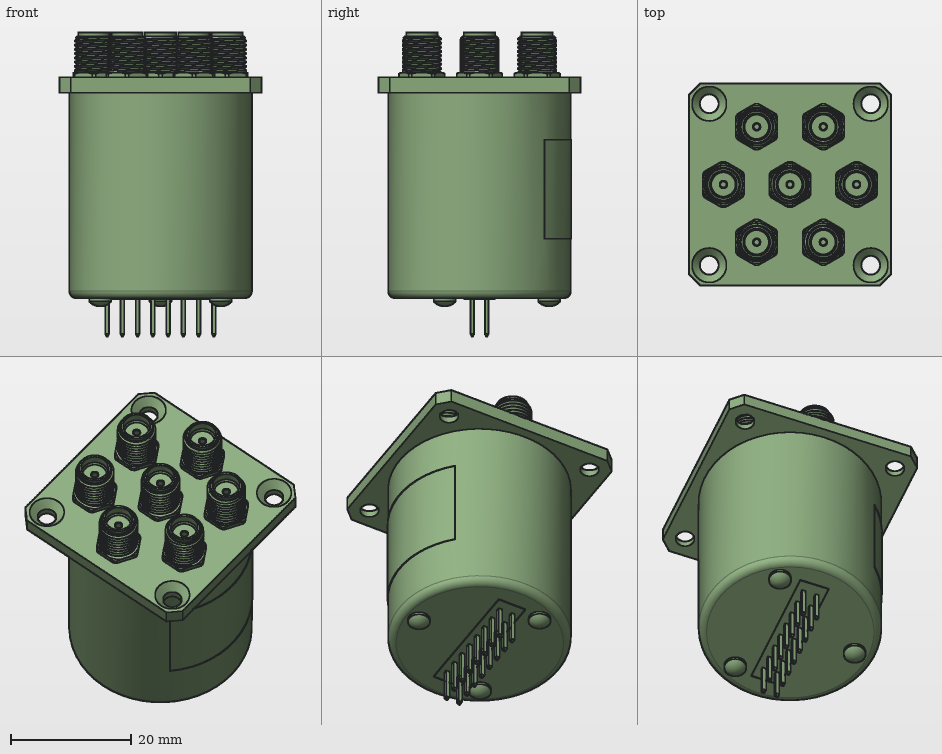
import cadquery as cq
import math


flange_side = 33.7
flange_thickness = 2.6
flange_corner_chamfer = 1.9
mount_hole_offset = 13.45
mount_hole_diameter = 3.1
countersink_diameter = 5.75
countersink_angle = 90

can_radius = 15.25
can_length = 34.25
can_bottom_fillet = 1.3
can_bottom_z = -flange_thickness - can_length

label_thickness = 0.1
label_height = 16.5
label_half_angle = math.radians(45)
label_gap_below_flange = 7.85

connector_count = 6
connector_circle_radius = 11.1
connector_height = 7.45
nut_sides = 6
nut_across_flats = 6.9
nut_corner_diameter = 7.66
nut_height = 0.75
nut_bevel_width = 0.3
nut_bevel_height = 0.18
thread_radius = 3.2
thread_pitch = 0.7056
thread_depth = 0.45
thread_groove_width = 0.62
thread_cutter_overrun = 0.1
thread_start_chamfer = 0.4
tip_radius = 2.63
tip_length = 0.65
bore_radius = 2.27
bore_depth = 1.9
bore_floor_radius = 2.02
bore_floor_bevel_height = 0.35
contact_mouth_radius = 0.64
contact_hole_radius = 0.5
contact_mouth_depth = 0.1
contact_hole_depth = 2.0

pin_columns = 8
pin_rows = 2
pin_pitch_x = 2.54
pin_pitch_y = 2.4
pin_width = 0.64
pin_length = 6.35
pin_tip_inset = 0.22
pin_tip_length = 0.45
header_length = 22.0
header_width = 5.1
header_thickness = 0.15

screw_count = 3
screw_circle_radius = 11.6
screw_head_radius = 1.85
screw_rim_height = 0.5
screw_dome_height = 0.85


def cylinder(radius, height, bottom_z):
    return cq.Workplane("XY").workplane(offset=bottom_z).circle(radius).extrude(height)


def make_flange():
    flange = cq.Workplane("XY").rect(flange_side, flange_side).extrude(-flange_thickness)
    flange = flange.edges("|Z").chamfer(flange_corner_chamfer)
    hole_spacing = 2 * mount_hole_offset
    return (
        flange.faces(">Z").workplane()
        .rect(hole_spacing, hole_spacing, forConstruction=True).vertices()
        .cskHole(mount_hole_diameter, countersink_diameter, countersink_angle)
    )


def make_can():
    can = cylinder(can_radius, can_length, can_bottom_z)
    return can.faces("<Z").edges().fillet(can_bottom_fillet)


def make_label():
    def rim_point(radius, angle_from_back):
        return (radius * math.sin(angle_from_back), radius * math.cos(angle_from_back))

    outer_radius = can_radius + label_thickness
    inner_radius = can_radius - label_thickness
    bottom_z = -flange_thickness - label_gap_below_flange - label_height
    return (
        cq.Workplane("XY").workplane(offset=bottom_z)
        .moveTo(*rim_point(inner_radius, -label_half_angle))
        .lineTo(*rim_point(outer_radius, -label_half_angle))
        .threePointArc((0, outer_radius), rim_point(outer_radius, label_half_angle))
        .lineTo(*rim_point(inner_radius, label_half_angle))
        .threePointArc((0, inner_radius), rim_point(inner_radius, -label_half_angle))
        .close().extrude(label_height)
    )


def make_nut():
    across_corners = nut_across_flats / math.cos(math.pi / nut_sides)
    hexagon = (
        cq.Workplane("XY").polygon(nut_sides, across_corners).extrude(nut_height)
        .rotate((0, 0, 0), (0, 0, 1), 90)
    )
    rounding = cylinder(nut_corner_diameter / 2, nut_height, 0)
    rounding = rounding.faces(">Z").edges().chamfer(nut_bevel_height, nut_bevel_width)
    return hexagon.intersect(rounding)


def make_thread_groove():
    """V-shaped cutter running helically from the nut's top to the shoulder below the tip."""
    start_z = nut_height
    helix_height = connector_height - tip_length - start_z
    half_mouth = thread_groove_width / 2 * (thread_depth + thread_cutter_overrun) / thread_depth
    root_radius = thread_radius - thread_depth
    cutter_radius = thread_radius + thread_cutter_overrun
    path = cq.Wire.makeHelix(thread_pitch, helix_height, root_radius, cq.Vector(0, 0, start_z))
    return (
        cq.Workplane("XZ")
        .moveTo(root_radius, start_z)
        .lineTo(cutter_radius, start_z + half_mouth)
        .lineTo(cutter_radius, start_z - half_mouth)
        .close().sweep(cq.Workplane(path), isFrenet=True)
    )


def make_connector():
    shoulder_z = connector_height - tip_length
    barrel = cylinder(thread_radius, shoulder_z, 0).faces(">Z").edges().chamfer(thread_start_chamfer)
    barrel = barrel.cut(make_thread_groove())
    body = barrel.union(make_nut()).union(cylinder(tip_radius, connector_height, 0))

    floor_z = connector_height - bore_depth
    contact_bottom_z = floor_z - contact_hole_depth
    bore = (
        cq.Workplane("XZ")
        .moveTo(0, connector_height)
        .lineTo(bore_radius, connector_height)
        .lineTo(bore_radius, floor_z + bore_floor_bevel_height)
        .lineTo(bore_floor_radius, floor_z)
        .lineTo(contact_mouth_radius, floor_z)
        .lineTo(contact_hole_radius, floor_z - contact_mouth_depth)
        .lineTo(contact_hole_radius, contact_bottom_z)
        .lineTo(0, contact_bottom_z)
        .close().revolve(360, (0, 0, 0), (0, 1, 0))
    )
    return body.cut(bore)


def make_connectors():
    connector = make_connector()
    placed = [connector]
    for index in range(connector_count):
        angle = 360 / connector_count * index
        outer = connector.translate((connector_circle_radius, 0, 0))
        placed.append(outer.rotate((0, 0, 0), (0, 0, 1), angle))
    return placed


def make_header():
    header = cq.Workplane("XY").workplane(offset=can_bottom_z)
    return header.rect(header_length, header_width).extrude(-header_thickness)


def make_pins():
    return (
        cq.Workplane("XY").workplane(offset=can_bottom_z)
        .rarray(pin_pitch_x, pin_pitch_y, pin_columns, pin_rows)
        .rect(pin_width, pin_width).extrude(-pin_length)
        .faces("<Z").edges().chamfer(pin_tip_length, pin_tip_inset)
    )


def make_screw_head():
    """Pan head centred on the Z axis: a short cylindrical rim and a domed end."""
    sphere_radius = (screw_head_radius**2 + screw_dome_height**2) / (2 * screw_dome_height)
    half_angle = math.asin(screw_head_radius / sphere_radius) / 2
    rim_z = can_bottom_z - screw_rim_height
    end_z = rim_z - screw_dome_height
    dome_middle = (
        sphere_radius * math.sin(half_angle),
        end_z + sphere_radius * (1 - math.cos(half_angle)),
    )
    return (
        cq.Workplane("XZ")
        .moveTo(0, can_bottom_z)
        .lineTo(screw_head_radius, can_bottom_z)
        .lineTo(screw_head_radius, rim_z)
        .threePointArc(dome_middle, (0, end_z))
        .close().revolve(360, (0, 0, 0), (0, 1, 0))
    )


def make_screw_heads():
    head = make_screw_head().translate((0, screw_circle_radius, 0))
    return [
        head.rotate((0, 0, 0), (0, 0, 1), 360 / screw_count * index)
        for index in range(screw_count)
    ]


result = make_flange().union(make_can()).union(make_label()).union(make_header()).union(make_pins())
for attachment in make_screw_heads() + make_connectors():
    result = result.union(attachment)